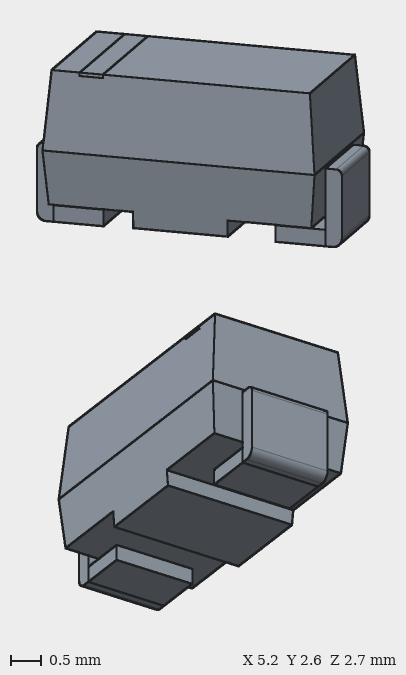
import cadquery as cq
import math

overall_length = 5.2
overall_width = 2.6
overall_height = 2.7

parting_z = 1.36
underside_z = 0.435
pad_bottom_z = 0.155
pad_length = 1.61
draft_angle = 5.0

band_center_x = -1.525
band_width = 0.395
band_depth = 0.055

lead_thickness = 0.28
lead_width = 1.455
lead_top_z = 1.315
foot_length = 0.855
top_bend_radius = 0.1
bottom_bend_radius = 0.155

package_length = overall_length - 2 * lead_thickness
upper_height = overall_height - parting_z
lower_height = parting_z - pad_bottom_z
undercut_length = (package_length - pad_length) / 2


def drafted_block(height, direction):
    """Block that narrows away from the parting plane, up (+1) or down (-1)."""
    inset = height * math.tan(math.radians(draft_angle))
    return (
        cq.Workplane("XY", origin=(0, 0, parting_z))
        .rect(package_length, overall_width)
        .workplane(offset=direction * height)
        .rect(package_length - 2 * inset, overall_width - 2 * inset)
        .loft(ruled=True)
    )


def make_lower_housing():
    """Lower half, cut away at both ends to leave a central standoff pad."""
    lower = drafted_block(lower_height, -1)
    for side in (-1, 1):
        undercut = (
            cq.Workplane("XY", origin=(side * (pad_length + undercut_length) / 2, 0, pad_bottom_z))
            .box(undercut_length, overall_width, underside_z - pad_bottom_z, centered=(True, True, False))
        )
        lower = lower.cut(undercut)
    return lower


def make_band_slab():
    """Straight slab across the full width, before trimming to the drafted sides."""
    return (
        cq.Workplane("XY", origin=(band_center_x, 0, overall_height - band_depth))
        .box(band_width, overall_width, band_depth, centered=(True, True, False))
    )


def make_lead_plate(side):
    """Upright terminal plate with its outer top and bottom edges rounded."""
    center_x = side * (overall_length - lead_thickness) / 2
    outer_face = ">X" if side > 0 else "<X"
    return (
        cq.Workplane("XY", origin=(center_x, 0, 0))
        .box(lead_thickness, lead_width, lead_top_z, centered=(True, True, False))
        .faces(outer_face).edges(">Z").fillet(top_bend_radius)
        .faces(outer_face).edges("<Z").fillet(bottom_bend_radius)
    )


def make_foot(side):
    """Flat solder foot reaching inward from the plate, under the package."""
    center_x = side * (package_length - foot_length) / 2
    return (
        cq.Workplane("XY", origin=(center_x, 0, 0))
        .box(foot_length, lead_width, lead_thickness, centered=(True, True, False))
    )


upper_blank = drafted_block(upper_height, 1)
band = upper_blank.intersect(make_band_slab())
upper_housing = upper_blank.cut(make_band_slab())
lower_housing = make_lower_housing()

terminals = []
for end in (-1, 1):
    terminals.append(make_lead_plate(end).val())
    terminals.append(make_foot(end).val())

result = cq.Compound.makeCompound([upper_housing.val(), lower_housing.val(), band.val(), *terminals])